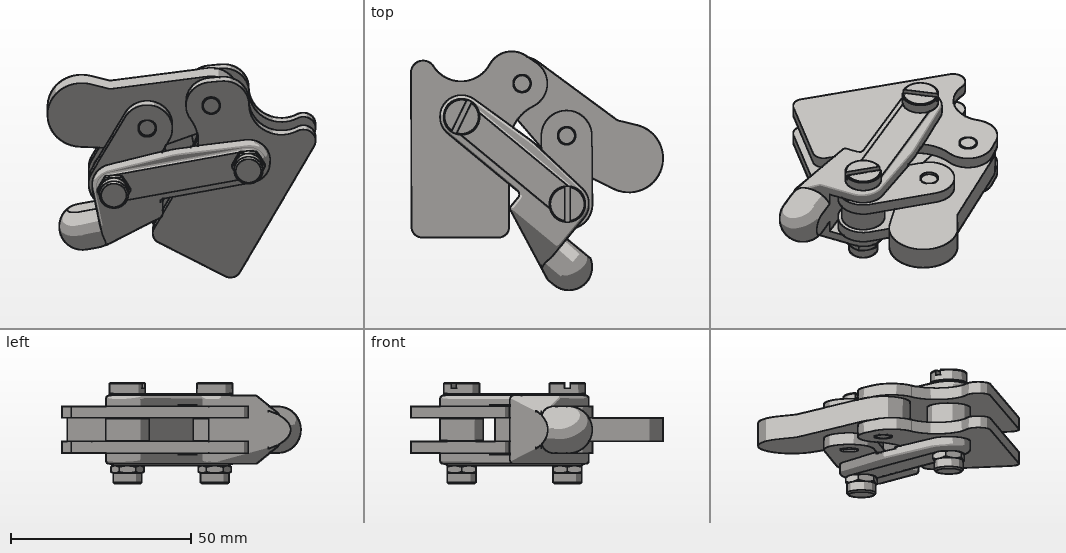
import math

import cadquery as cq

BASE_SCREW = (0.0, 0.0)
ARM_SCREW = (29.3, -24.2)
BASE_PIN = (16.75, 9.2)
ARM_PIN = (29.1, -5.25)
LINK_END = (46.36, -11.5)

PLATE_INNER = 3.25
PLATE_OUTER = 6.5
LEVER_HALF = 9.5
PAD_HEIGHT = 0.5
PAD_TOP = LEVER_HALF + PAD_HEIGHT

BASE_LEFT = -14.07
BASE_BOTTOM_LEFT = -13.9
BASE_RIGHT = 13.2
BASE_BOTTOM = -33.5
BASE_CORNER_R = 3.0
BASE_LUG_R = 7.0
BASE_LUG_CREST = (13.9, 11.15)
BASE_TOP_CORNER = (-10.67, 12.2)
BASE_TOP_CORNER_R = BASE_TOP_CORNER[0] - BASE_LEFT
BASE_SCALLOP = (-0.2, 18.95)
BASE_NECK_R = 12.0

ARM_R = 7.0
LINK_R = 7.5
LINK_END_R = 9.5
LINK_SHOULDER_R = 6.6
LINK_SHOULDER_FILLET = 2.0

LEVER_LENGTH = math.dist(BASE_SCREW, ARM_SCREW)
LEVER_ANGLE = math.degrees(math.atan2(ARM_SCREW[1], ARM_SCREW[0]))
LEVER_R = 6.0
LEVER_BULGE_R = 22.0
LEVER_BULGE_CREST = (19.7, 7.2)
LEVER_EDGE_R = 1.0
PAD_R = 4.0
PAD_FOOT_R = 1.0
HANDLE_START = 26.3
HANDLE_END = LEVER_LENGTH + LEVER_R
HANDLE_NECK_R = 1.2
HANDLE_CORNER_V = -11.1
HANDLE_SLOPE = 0.41
HANDLE_BEVEL_V = -10.65
HANDLE_BEVEL_ANGLE = 32.0
SLOT_FLOOR_V = -7.5
RELIEF_LENGTH = 8.0
RELIEF_DEPTH = 0.45
KNOB_V = -13.17
KNOB_R = 6.5
KNOB_CENTRE_U = 49.4

HEAD_R = 5.0
HEAD_HEIGHT = 3.0
HEAD_CHAMFER = 0.3
DRIVE_WIDTH = 1.5
DRIVE_DEPTH = 1.5
BASE_DRIVE_ANGLE = 64.0
ARM_DRIVE_ANGLE = 90.0
STUD_R = 4.0
STUD_CHAMFER = 0.5
STUD_END = -15.0
NUT_FLATS = 2 * STUD_R
NUT_HEIGHT = 2.0
NUT_CHAMFER_ANGLE = 30.0
SPACER_R = 6.0
SPACER_HALF = 3.05
PIN_R = 2.5
PIN_CHAMFER = 0.25
BASE_PIN_RECESS = 0.0
ARM_PIN_RECESS = 0.5

OVERSIZE = 100.0


def tangent_points(circle_a, circle_b):
    """Ends of the outer tangent on the left of the way from circle a to circle b."""
    (ax, ay), ar = circle_a
    (bx, by), br = circle_b
    heading = math.atan2(by - ay, bx - ax)
    side = heading + math.acos((ar - br) / math.hypot(bx - ax, by - ay))
    normal = (math.cos(side), math.sin(side))
    start = (ax + ar * normal[0], ay + ar * normal[1])
    end = (bx + br * normal[0], by + br * normal[1])
    return start, end


def arc_middle(centre, radius, start, end):
    """Middle point of the clockwise arc from start to end."""
    first = math.atan2(start[1] - centre[1], start[0] - centre[0])
    last = math.atan2(end[1] - centre[1], end[0] - centre[0])
    middle = first - ((first - last) % (2 * math.pi)) / 2
    return (centre[0] + radius * math.cos(middle), centre[1] + radius * math.sin(middle))


def belt(circles, z_low, z_high):
    """Slab whose outline is a belt around circles listed clockwise."""
    count = len(circles)
    runs = [tangent_points(circles[i], circles[(i + 1) % count]) for i in range(count)]
    outline = cq.Workplane("XY").workplane(offset=z_low).moveTo(*runs[0][0])
    for i, (_, arrival) in enumerate(runs):
        centre, radius = circles[(i + 1) % count]
        departure = runs[(i + 1) % count][0]
        outline = outline.lineTo(*arrival)
        outline = outline.threePointArc(arc_middle(centre, radius, arrival, departure), departure)
    return outline.close().extrude(z_high - z_low)


def disc(centre, radius, z_low, z_high):
    return cq.Workplane("XY").workplane(offset=z_low).center(*centre).circle(radius).extrude(z_high - z_low)


def mirrored_pair(solid):
    """The solid together with its mirror image below the XY plane."""
    return solid.union(solid.mirror("XY"))


def point_between(start, end, distance):
    """Point at a distance from start on the way to end."""
    share = distance / math.dist(start, end)
    return (start[0] + share * (end[0] - start[0]), start[1] + share * (end[1] - start[1]))


def base_plate():
    """Upper base plate with its scalloped top edge and the lug around the base pin."""
    scallop_left = point_between(BASE_TOP_CORNER, BASE_SCALLOP, BASE_TOP_CORNER_R)
    scallop_right = point_between(BASE_LUG_CREST, BASE_SCALLOP, BASE_LUG_R)
    scallop_r = math.dist(BASE_LUG_CREST, BASE_SCALLOP) - BASE_LUG_R
    scallop_low = (BASE_SCALLOP[0], BASE_SCALLOP[1] - scallop_r)
    crest_end, lug_start = tangent_points((BASE_LUG_CREST, BASE_LUG_R), (BASE_PIN, BASE_LUG_R))

    neck_x = BASE_RIGHT + BASE_NECK_R
    neck_reach = BASE_LUG_R + BASE_NECK_R
    neck = (neck_x, BASE_PIN[1] - math.sqrt(neck_reach ** 2 - (neck_x - BASE_PIN[0]) ** 2))
    lug_end = point_between(BASE_PIN, neck, BASE_LUG_R)
    neck_end = (BASE_RIGHT, neck[1])
    neck_middle = arc_middle(neck, BASE_NECK_R, neck_end, lug_end)

    corner_start = (BASE_LEFT, BASE_TOP_CORNER[1])
    corner_middle = arc_middle(BASE_TOP_CORNER, BASE_TOP_CORNER_R, corner_start, scallop_left)
    crest_middle = arc_middle(BASE_LUG_CREST, BASE_LUG_R, scallop_right, crest_end)
    lug_middle = arc_middle(BASE_PIN, BASE_LUG_R, lug_start, lug_end)
    plate = (
        cq.Workplane("XY").workplane(offset=PLATE_INNER)
        .moveTo(BASE_BOTTOM_LEFT, BASE_BOTTOM)
        .lineTo(*corner_start)
        .threePointArc(corner_middle, scallop_left)
        .threePointArc(scallop_low, scallop_right)
        .threePointArc(crest_middle, crest_end)
        .lineTo(*lug_start)
        .threePointArc(lug_middle, lug_end)
        .threePointArc(neck_middle, neck_end)
        .lineTo(BASE_RIGHT, BASE_BOTTOM)
        .close()
        .extrude(PLATE_OUTER - PLATE_INNER)
    )
    return plate.faces("<Y").edges("|Z").fillet(BASE_CORNER_R)


def arm():
    """Upper arm between the lever and the link."""
    return belt([(ARM_PIN, ARM_R), (ARM_SCREW, ARM_R)], PLATE_INNER, PLATE_OUTER)


def link():
    """Centre link from the base pin past the arm pin to its round end."""
    web_circles = [(BASE_PIN, LINK_R), (LINK_END, LINK_SHOULDER_R), (ARM_PIN, LINK_R)]
    web = belt(web_circles, -PLATE_INNER, PLATE_INNER)
    tail = belt([(ARM_PIN, LINK_R), (LINK_END, LINK_END_R)], -PLATE_INNER, PLATE_INNER)
    flank_start, flank_end = tangent_points(web_circles[0], web_circles[1])
    half_chord = math.sqrt(LINK_END_R ** 2 - LINK_SHOULDER_R ** 2)
    shoulder = cq.NearestToPointSelector((*point_between(flank_end, flank_start, half_chord), 0))
    return web.union(tail).edges("|Z").edges(shoulder).fillet(LINK_SHOULDER_FILLET)


def handle_plane_v(u):
    """Place across the lever of the slanted side of the handle."""
    return HANDLE_CORNER_V - HANDLE_SLOPE * (u - HANDLE_START)


def handle_block():
    """Solid block of the handle before its edges are bevelled and rounded."""
    return (
        cq.Workplane("XY").workplane(offset=-LEVER_HALF)
        .moveTo(HANDLE_START, -LEVER_R / 2)
        .lineTo(HANDLE_END, 0)
        .lineTo(HANDLE_END, handle_plane_v(HANDLE_END))
        .lineTo(HANDLE_START, HANDLE_CORNER_V)
        .close()
        .extrude(2 * LEVER_HALF)
    )


def handle_bevel():
    """Wedge above the sloping upper face of the handle."""
    drop = math.tan(math.radians(HANDLE_BEVEL_ANGLE))
    reach = LEVER_HALF / drop
    return (
        cq.Workplane("YZ")
        .moveTo(HANDLE_BEVEL_V, LEVER_HALF)
        .lineTo(HANDLE_BEVEL_V - reach, 0)
        .lineTo(HANDLE_BEVEL_V - reach, LEVER_HALF)
        .close()
        .extrude(OVERSIZE)
    )


def knob():
    """Round-ended knob, trimmed flush with the slanted side of the handle."""
    shank_start = HANDLE_END - KNOB_R / 2
    turned = (
        cq.Workplane("XY")
        .moveTo(shank_start, KNOB_V)
        .lineTo(shank_start, KNOB_V + KNOB_R)
        .lineTo(KNOB_CENTRE_U, KNOB_V + KNOB_R)
        .radiusArc((KNOB_CENTRE_U + KNOB_R, KNOB_V), KNOB_R)
        .close()
        .revolve(360, (shank_start, KNOB_V, 0), (KNOB_CENTRE_U, KNOB_V, 0))
    )
    beyond = HANDLE_END + OVERSIZE
    trim = (
        cq.Workplane("XY").workplane(offset=-LEVER_HALF)
        .moveTo(HANDLE_START, HANDLE_CORNER_V)
        .lineTo(beyond, handle_plane_v(beyond))
        .lineTo(HANDLE_START, handle_plane_v(beyond))
        .close()
        .extrude(2 * LEVER_HALF)
    )
    return turned.cut(trim)


def pad():
    """Raised strip between the screws with a concave fillet at its foot."""
    wall_angle = math.acos(1 - PAD_HEIGHT / PAD_FOOT_R)
    middle_angle = wall_angle / 2
    foot = PAD_R + PAD_FOOT_R * math.sin(wall_angle)
    sweep_middle = (
        foot - PAD_FOOT_R * math.sin(middle_angle),
        LEVER_HALF + PAD_FOOT_R * (1 - math.cos(middle_angle)),
    )

    def half_profile(plane):
        return (
            cq.Workplane(plane)
            .moveTo(0, PLATE_OUTER)
            .lineTo(foot, PLATE_OUTER)
            .lineTo(foot, LEVER_HALF)
            .threePointArc(sweep_middle, (PAD_R, PAD_TOP))
            .lineTo(0, PAD_TOP)
            .close()
        )

    end = half_profile("XZ").revolve(360, (0, 0, 0), (0, 1, 0))
    side = half_profile("YZ").extrude(LEVER_LENGTH)
    strip = side.union(side.mirror("XZ"))
    return strip.union(end).union(end.translate((LEVER_LENGTH, 0, 0)))


def lever():
    """Forked lever with handle, built along X from the base screw, then turned into place."""
    far_screw = (LEVER_LENGTH, 0)
    near = ((0, 0), LEVER_R)
    far = (far_screw, LEVER_R)
    bulge = ((LEVER_BULGE_CREST[0], LEVER_BULGE_CREST[1] - LEVER_BULGE_R), LEVER_BULGE_R)
    body = belt([near, bulge, far], -LEVER_HALF, LEVER_HALF).union(handle_block())
    neck = cq.NearestToPointSelector((HANDLE_START, -LEVER_R, 0))
    body = body.edges("|Z").edges(neck).fillet(HANDLE_NECK_R)
    body = body.cut(mirrored_pair(handle_bevel()))
    handle_corner = cq.NearestToPointSelector((HANDLE_START, HANDLE_CORNER_V, 0))
    rounded_edges = body.edges("not |Z").add(body.edges("|Z").edges(handle_corner))
    body = rounded_edges.fillet(LEVER_EDGE_R).union(knob()).union(mirrored_pair(pad()))

    slot = (
        cq.Workplane("XY")
        .box(OVERSIZE, OVERSIZE, 2 * PLATE_OUTER)
        .translate((LEVER_LENGTH / 2, SLOT_FLOOR_V + OVERSIZE / 2, 0))
    )
    relief = (
        cq.Workplane("XY")
        .box(RELIEF_LENGTH, 2 * LEVER_HALF, 2 * (PLATE_OUTER + RELIEF_DEPTH))
        .translate((LEVER_LENGTH / 2, 0, 0))
    )
    body = body.cut(slot).cut(relief)
    return body.rotate((0, 0, 0), (0, 0, 1), LEVER_ANGLE)


def nut(centre):
    """Hexagon nut under the lever, its corners turned down at both ends."""
    corner_r = NUT_FLATS / 2 / math.cos(math.pi / 6)
    drop = (corner_r - NUT_FLATS / 2) * math.tan(math.radians(NUT_CHAMFER_ANGLE))
    hexagon = cq.Workplane("XY").polygon(6, 2 * corner_r).extrude(NUT_HEIGHT).rotate((0, 0, 0), (0, 0, 1), 90)
    turned = (
        cq.Workplane("XZ")
        .lineTo(NUT_FLATS / 2, 0)
        .lineTo(corner_r, drop)
        .lineTo(corner_r, NUT_HEIGHT - drop)
        .lineTo(NUT_FLATS / 2, NUT_HEIGHT)
        .lineTo(0, NUT_HEIGHT)
        .close()
        .revolve(360, (0, 0, 0), (0, 1, 0))
    )
    return hexagon.intersect(turned).translate((*centre, -PAD_TOP - NUT_HEIGHT))


def screw(centre, drive_angle):
    """Slotted screw with its nut and the spacer between the plates."""
    head_top = PAD_TOP + HEAD_HEIGHT
    head = disc((0, 0), HEAD_R, PAD_TOP, head_top).faces(">Z").edges().chamfer(HEAD_CHAMFER)
    drive = (
        cq.Workplane("XY")
        .box(2 * HEAD_R, DRIVE_WIDTH, 2 * DRIVE_DEPTH)
        .translate((0, 0, head_top))
        .rotate((0, 0, 0), (0, 0, 1), drive_angle)
    )
    stud = disc((0, 0), STUD_R, STUD_END, PAD_TOP).faces("<Z").edges().chamfer(STUD_CHAMFER)
    spacer = disc((0, 0), SPACER_R, -SPACER_HALF, SPACER_HALF)
    turned = head.union(stud).cut(drive).union(spacer)
    return turned.translate((*centre, 0)).union(nut(centre))


def pin_groove(centre, recess):
    """Space in the upper plate above a pin whose chamfered end lies below the plate face."""
    pin_top = PLATE_OUTER - recess
    pin_end = disc(centre, PIN_R, 0, pin_top).faces(">Z").edges().chamfer(PIN_CHAMFER)
    return disc(centre, PIN_R, pin_top - PIN_CHAMFER, PLATE_OUTER).cut(pin_end)


plates = mirrored_pair(base_plate().union(arm()))
for position, recess in ((BASE_PIN, BASE_PIN_RECESS), (ARM_PIN, ARM_PIN_RECESS)):
    groove = pin_groove(position, recess)
    plates = plates.cut(groove).cut(groove.mirror("XY"))

result = plates.union(link()).union(lever())
for position, drive_angle in ((BASE_SCREW, BASE_DRIVE_ANGLE), (ARM_SCREW, ARM_DRIVE_ANGLE)):
    result = result.union(screw(position, drive_angle))